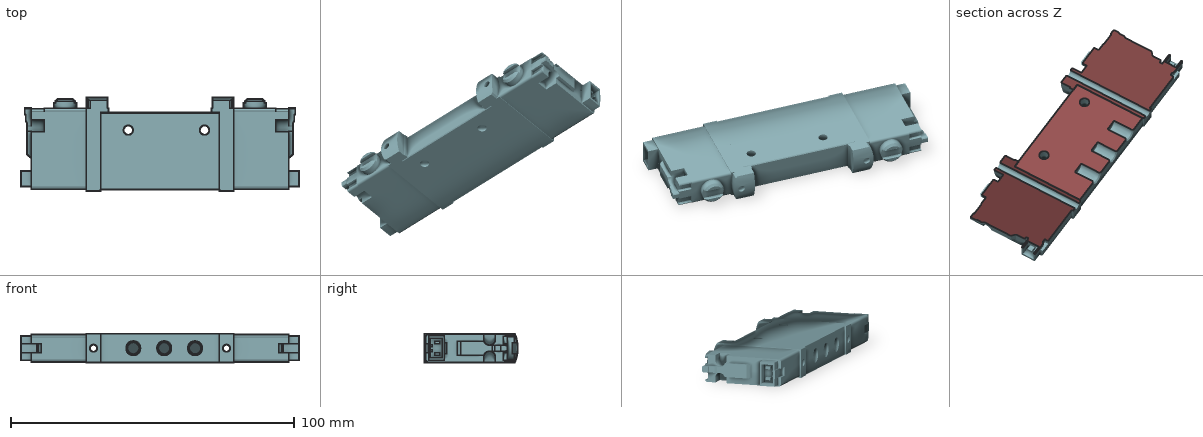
import cadquery as cq

overall_length = 98.3
overall_thickness = 10.2
half_thickness = overall_thickness / 2

block_front = 0.5
block_back = 27.8
block_back_chamfer = 0.3
collar_inner = 20.9
mount_hole_diameter = 3.2
mount_hole_y = 21.5
mount_hole_xs = (-11.2, 15.7)
port_diameter = 4.1
port_rim_diameter = 5.1
port_rim_depth = (port_rim_diameter - port_diameter) / 2
port_depth = 7.9
port_pitch = 10.9
port_middle_x = 1.5

collar_outer = 26.05
collar_back = 29.3
collar_hole_diameter = 2.5
boss_back = 33.1
boss_corner_back = 32.0
boss_inner = 18.5
boss_foot_inner = 18.2
boss_shoulder = 25.4
boss_shoulder_half_thickness = 4.6
boss_top_outer = 24.7

coil_half_thickness = 4.9
coil_front = 0.6
coil_back = 29.3
coil_edge_radius = 0.9
cap_inner = 40.8
cap_outer = 45.5
cap_back = 29.1
cap_back_notch_depth = 1.2
cap_back_notch_near = 1.6
cap_back_notch_far = 4.2

button_diameter = 8.1
button_x = 33.5
button_back = 32.5
button_chamfer = 0.8
button_slot_width = 3.8
button_slot_depth = 1.4

lever_outer = 47.0
lever_half_width = 2.5
lever_front = 11.7
lever_slope_end = 13.0
hook_half_thickness = 1.1
hook_outer = 47.8
hook_step_outer = 47.5
hook_back = 29.4
hook_step_y = 27.0
hook_slope_back = 24.9
hook_slope_front = 24.0
hook_tip_chamfer = 0.3
groove_diameter = 4.1
groove_y = 23.1

plug_outer = overall_length / 2
plug_front = 1.7
plug_back = 7.2
plug_half_height = 4.3
socket_front = 2.2
socket_back = 6.5
socket_half_height = 3.4
socket_depth = 3.4
terminal_length = 2.0
terminal_width = 1.8
terminal_thickness = 0.9
terminal_y = 4.7
terminal_z = 2.0
rib_height = 0.8
rib_thickness = 0.6
rib_z = 0.9
clip_half_width = 1.6
clip_front = 1.5
clip_inner = 43.5
clip_window_inner = 41.9
clip_window_outer = 43.1
clip_window_back = 2.0
relief_half_width = 2.0
relief_back = 8.1
relief_depth = 1.0


def block(x_range, y_range, z_range):
    """Box between the given pairs of limits."""
    size = [high - low for low, high in (x_range, y_range, z_range)]
    return cq.Workplane("XY").box(*size, centered=False).translate((x_range[0], y_range[0], z_range[0]))


def slab(x_range, y_range, half_height):
    """Box centred on mid-thickness."""
    return block(x_range, y_range, (-half_height, half_height))


def rod_along_y(diameter, x, front, back):
    plane = cq.Plane(origin=(x, front, 0), xDir=(1, 0, 0), normal=(0, 1, 0))
    return cq.Workplane(plane).circle(diameter / 2).extrude(back - front)


def make_port(x):
    """Port cutter: a blind bore with a countersunk rim."""
    bore = rod_along_y(port_diameter, x, block_front, block_front + port_depth)
    rim = bore.faces("<Y").workplane().circle(port_rim_diameter / 2)
    rim = rim.workplane(offset=-port_rim_depth).circle(port_diameter / 2).loft(combine=False)
    return bore.union(rim)


def make_valve_block():
    body = slab((-collar_inner, collar_inner), (block_front, block_back), half_thickness)
    body = body.faces(">Y").edges("|X").chamfer(block_back_chamfer)
    for x in mount_hole_xs:
        hole = cq.Workplane("XY").center(x, mount_hole_y).circle(mount_hole_diameter / 2)
        body = body.cut(hole.extrude(half_thickness, both=True))
    for step in (-1, 0, 1):
        body = body.cut(make_port(port_middle_x + step * port_pitch))
    return body


def make_boss():
    """Boss with a crowned back and a crowned outer side, stepping over the valve block."""
    foot = slab((boss_foot_inner, collar_outer), (block_back, collar_back), half_thickness)
    plan = slab((boss_inner, collar_outer), (collar_back, boss_back), half_thickness)
    crowned_back = (
        cq.Workplane("YZ")
        .moveTo(block_back, -half_thickness)
        .lineTo(boss_corner_back, -half_thickness)
        .threePointArc((boss_back, 0), (boss_corner_back, half_thickness))
        .lineTo(block_back, half_thickness)
        .close()
        .extrude(collar_outer)
    )
    crowned_side = (
        cq.Workplane("XZ")
        .moveTo(boss_inner, -half_thickness)
        .lineTo(boss_top_outer, -half_thickness)
        .lineTo(boss_shoulder, -boss_shoulder_half_thickness)
        .threePointArc((collar_outer, 0), (boss_shoulder, boss_shoulder_half_thickness))
        .lineTo(boss_top_outer, half_thickness)
        .lineTo(boss_inner, half_thickness)
        .close()
        .extrude(-boss_back)
    )
    return foot.union(plan.intersect(crowned_back).intersect(crowned_side))


def make_collar():
    plate = slab((collar_inner, collar_outer), (0, collar_back), half_thickness)
    hole_x = (collar_inner + collar_outer) / 2
    return plate.union(make_boss()).cut(rod_along_y(collar_hole_diameter, hole_x, 0, boss_back))


def rounded_housing(inner, outer, back):
    housing = slab((inner, outer), (coil_front, back), coil_half_thickness)
    return housing.edges("|X").fillet(coil_edge_radius)


def make_button():
    button = rod_along_y(button_diameter, button_x, coil_back - coil_edge_radius, button_back)
    button = button.faces(">Y").chamfer(button_chamfer)
    half_length = button_diameter / 2
    slot = slab(
        (button_x - half_length, button_x + half_length),
        (button_back - button_slot_depth, button_back),
        button_slot_width / 2,
    )
    return button.cut(slot)


def make_lever():
    return (
        cq.Workplane("XY", origin=(0, 0, -lever_half_width))
        .moveTo(cap_outer, lever_front)
        .lineTo(lever_outer, lever_slope_end)
        .lineTo(lever_outer, groove_y)
        .lineTo(cap_outer, groove_y)
        .close()
        .extrude(2 * lever_half_width)
    )


def make_hook():
    hook = (
        cq.Workplane("XY", origin=(0, 0, -hook_half_thickness))
        .moveTo(cap_outer, groove_y)
        .lineTo(lever_outer, groove_y)
        .lineTo(lever_outer, hook_slope_front)
        .lineTo(hook_step_outer, hook_slope_back)
        .lineTo(hook_step_outer, hook_step_y)
        .lineTo(hook_outer, hook_step_y)
        .lineTo(hook_outer, hook_back)
        .lineTo(cap_outer, hook_back)
        .close()
        .extrude(2 * hook_half_thickness)
    )
    return hook.faces(">Y").edges("|X").chamfer(hook_tip_chamfer)


def make_groove():
    """Round-bottomed groove cutter, open at the top, whose bottom is level with the hook."""
    radius = groove_diameter / 2
    centre_z = hook_half_thickness + radius
    length = lever_outer - cap_inner
    round_bottom = cq.Workplane("YZ", origin=(cap_inner, groove_y, centre_z)).circle(radius).extrude(length)
    opening = block(
        (cap_inner, lever_outer),
        (groove_y - radius, groove_y + radius),
        (centre_z, half_thickness),
    )
    return round_bottom.union(opening)


def make_cap():
    cap = rounded_housing(cap_inner, cap_outer, cap_back).union(make_lever())
    notch = block(
        (cap_inner, cap_outer),
        (cap_back - cap_back_notch_depth, cap_back),
        (cap_back_notch_near, cap_back_notch_far),
    )
    cutters = make_groove().union(notch)
    cap = cap.cut(cutters).cut(cutters.mirror("XY")).union(make_hook())

    clip_slot = slab((clip_window_inner, cap_outer), (coil_front, plug_front), clip_half_width)
    clip_window = slab((clip_window_inner, clip_window_outer), (plug_front, clip_window_back), clip_half_width)
    relief = slab((cap_outer - relief_depth, cap_outer), (plug_back, relief_back), relief_half_width)
    return cap.cut(clip_slot).cut(clip_window).cut(relief)


def make_plug():
    plug = slab((cap_outer, plug_outer), (plug_front, plug_back), plug_half_height)
    socket_floor = plug_outer - socket_depth
    plug = plug.cut(slab((socket_floor, plug_outer), (socket_front, socket_back), socket_half_height))
    clip = slab((clip_inner, plug_outer), (clip_front, plug_front), clip_half_width)
    plug = plug.union(clip)
    for side in (-1, 1):
        terminal = cq.Workplane("XY").box(terminal_length, terminal_width, terminal_thickness)
        terminal = terminal.translate((socket_floor + terminal_length / 2, terminal_y, side * terminal_z))
        rib = cq.Workplane("XY").box(terminal_length, rib_height, rib_thickness)
        rib = rib.translate((socket_floor + terminal_length / 2, socket_front + rib_height / 2, side * rib_z))
        plug = plug.union(terminal).union(rib)
    return plug


def make_solenoid():
    """Solenoid unit at the +X end: collar, coil, override button, cap and plug."""
    coil = rounded_housing(collar_outer, cap_inner, coil_back)
    return make_collar().union(coil).union(make_button()).union(make_cap()).union(make_plug())


valve_block = make_valve_block()
right_solenoid = make_solenoid()
left_solenoid = right_solenoid.mirror("YZ")

result = cq.Compound.makeCompound([valve_block.val(), right_solenoid.val(), left_solenoid.val()])